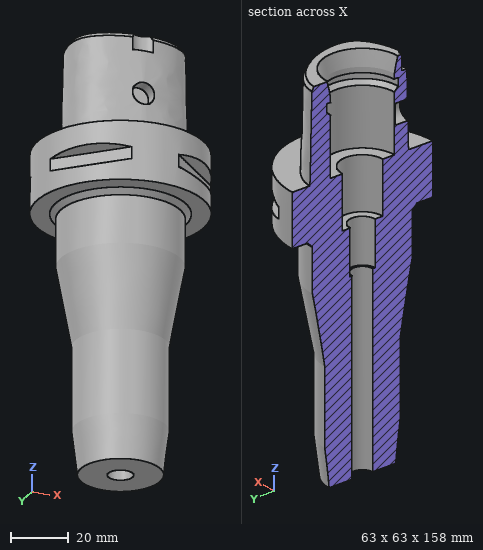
import cadquery as cq
import math

TOTAL_LENGTH = 158.0
SHANK_LENGTH = 37.9
FLANGE_THICKNESS = 22.1
NECK_LENGTH = 18.0
RELIEF_HEIGHT = 2.0
REDUCER_LENGTH = 30.0
BODY_LENGTH = 31.6

FLANGE_TOP = TOTAL_LENGTH - SHANK_LENGTH
FLANGE_BOTTOM = FLANGE_TOP - FLANGE_THICKNESS
NECK_TOP = FLANGE_BOTTOM - RELIEF_HEIGHT
NECK_BOTTOM = NECK_TOP - NECK_LENGTH
BODY_TOP = NECK_BOTTOM - REDUCER_LENGTH
BODY_BOTTOM = BODY_TOP - BODY_LENGTH

FLANGE_RADIUS = 63.0 / 2
NECK_RADIUS = 45.0 / 2
BODY_RADIUS = 34.0 / 2
NOSE_RADIUS = 30.0 / 2

SHANK_BASE_RADIUS = 44.4 / 2
SHANK_TAPER = 1 / 40
LOBE_HEIGHT = 1.5
SHANK_CHAMFER_HEIGHT = 1.6
SHANK_CHAMFER_INSET = 1.0
PROFILE_POINTS = 36

MOUTH_RADIUS = 31.5 / 2
BORE_RADIUS = 14.2
MOUTH_CONE_DEPTH = 6.5
GROOVE_RADIUS = 16.0
GROOVE_TOP_DEPTH = 8.7
GROOVE_BOTTOM_DEPTH = 11.8
GROOVE_EXIT_DEPTH = GROOVE_BOTTOM_DEPTH + GROOVE_RADIUS - BORE_RADIUS
BORE_DEPTH = 37.9
THREAD_RADIUS = 9.0
THREAD_DEPTH = 60.0
COUNTERBORE_RADIUS = 5.5
COUNTERBORE_DEPTH = 79.0
THROUGH_RADIUS = 4.6

NOTCH_RADIUS = 4.7
NOTCH_DEPTH = 6.3
NOTCH_CENTRE_Y = -22.5
PIN_HOLE_RADIUS = 4.1
PIN_HOLE_DEPTH = 22.5
PIN_HOLE_FLOOR_Y = -14.9

SLOT_COUNT = 4
SLOT_FLAT_DISTANCE = 27.6
SLOT_FLOOR_WIDTH = 4.5
SLOT_MOUTH_WIDTH = 7.7
SLOT_CENTRE_Z = FLANGE_BOTTOM + 10.1


def lobed_wire(mean_radius, z):
    """Closed three-lobed curve with support function r - e*sin(3a), one lobe on +Y."""

    def point(angle):
        support = mean_radius - LOBE_HEIGHT * math.sin(3 * angle)
        slope = -3 * LOBE_HEIGHT * math.cos(3 * angle)
        x = support * math.cos(angle) - slope * math.sin(angle)
        y = support * math.sin(angle) + slope * math.cos(angle)
        return cq.Vector(x, y, z)

    points = [point(2 * math.pi * i / PROFILE_POINTS) for i in range(PROFILE_POINTS)]
    return cq.Wire.assembleEdges([cq.Edge.makeSpline(points, periodic=True)])


def revolved(outline):
    """Solid of revolution about Z from (radius, z) points."""
    return cq.Workplane("XZ").polyline(outline).close().revolve(360, (0, 0), (0, 1))


def turned_body():
    return revolved([
        (0, 0),
        (NOSE_RADIUS, 0),
        (BODY_RADIUS, BODY_BOTTOM),
        (BODY_RADIUS, BODY_TOP),
        (NECK_RADIUS, NECK_BOTTOM),
        (NECK_RADIUS, NECK_TOP),
        (NECK_RADIUS + RELIEF_HEIGHT, FLANGE_BOTTOM),
        (FLANGE_RADIUS, FLANGE_BOTTOM),
        (FLANGE_RADIUS, FLANGE_TOP),
        (0, FLANGE_TOP),
    ])


def shank():
    taper_height = SHANK_LENGTH - SHANK_CHAMFER_HEIGHT
    chamfer_z = FLANGE_TOP + taper_height
    chamfer_radius = SHANK_BASE_RADIUS - SHANK_TAPER * taper_height
    base = lobed_wire(SHANK_BASE_RADIUS, FLANGE_TOP)
    shoulder = lobed_wire(chamfer_radius, chamfer_z)
    end = lobed_wire(chamfer_radius - SHANK_CHAMFER_INSET, TOTAL_LENGTH)
    taper = cq.Workplane(cq.Solid.makeLoft([base, shoulder], True))
    chamfer = cq.Workplane(cq.Solid.makeLoft([shoulder, end], True))
    return taper.union(chamfer)


def stepped_bore():
    steps = [
        (MOUTH_RADIUS, 0),
        (BORE_RADIUS, MOUTH_CONE_DEPTH),
        (BORE_RADIUS, GROOVE_TOP_DEPTH),
        (GROOVE_RADIUS, GROOVE_TOP_DEPTH),
        (GROOVE_RADIUS, GROOVE_BOTTOM_DEPTH),
        (BORE_RADIUS, GROOVE_EXIT_DEPTH),
        (BORE_RADIUS, BORE_DEPTH),
        (THREAD_RADIUS, BORE_DEPTH),
        (THREAD_RADIUS, THREAD_DEPTH),
        (COUNTERBORE_RADIUS, THREAD_DEPTH),
        (COUNTERBORE_RADIUS, COUNTERBORE_DEPTH),
        (THROUGH_RADIUS, COUNTERBORE_DEPTH),
        (THROUGH_RADIUS, TOTAL_LENGTH),
    ]
    outline = [(radius, TOTAL_LENGTH - depth) for radius, depth in steps]
    return revolved([(0, TOTAL_LENGTH)] + outline + [(0, 0)])


def end_notch():
    return (
        cq.Workplane("XY", origin=(0, NOTCH_CENTRE_Y, TOTAL_LENGTH - NOTCH_DEPTH))
        .circle(NOTCH_RADIUS)
        .extrude(NOTCH_DEPTH)
    )


def pin_hole():
    return (
        cq.Workplane("XZ", origin=(0, PIN_HOLE_FLOOR_Y, TOTAL_LENGTH - PIN_HOLE_DEPTH))
        .circle(PIN_HOLE_RADIUS)
        .extrude(FLANGE_RADIUS + PIN_HOLE_FLOOR_Y)
    )


def gripper_slot(angle):
    """Flared slot cut along a chord of the flange, facing outward at the given angle."""
    half_floor = SLOT_FLOOR_WIDTH / 2
    half_mouth = SLOT_MOUTH_WIDTH / 2
    section = [
        (SLOT_FLAT_DISTANCE, SLOT_CENTRE_Z - half_floor),
        (FLANGE_RADIUS, SLOT_CENTRE_Z - half_mouth),
        (FLANGE_RADIUS, SLOT_CENTRE_Z + half_mouth),
        (SLOT_FLAT_DISTANCE, SLOT_CENTRE_Z + half_floor),
    ]
    slot = cq.Workplane("XZ").polyline(section).close().extrude(FLANGE_RADIUS, both=True)
    return slot.rotate((0, 0, 0), (0, 0, 1), angle)


result = turned_body().union(shank())
result = result.cut(stepped_bore()).cut(end_notch()).cut(pin_hole())
for index in range(SLOT_COUNT):
    result = result.cut(gripper_slot((index + 0.5) * 360 / SLOT_COUNT))